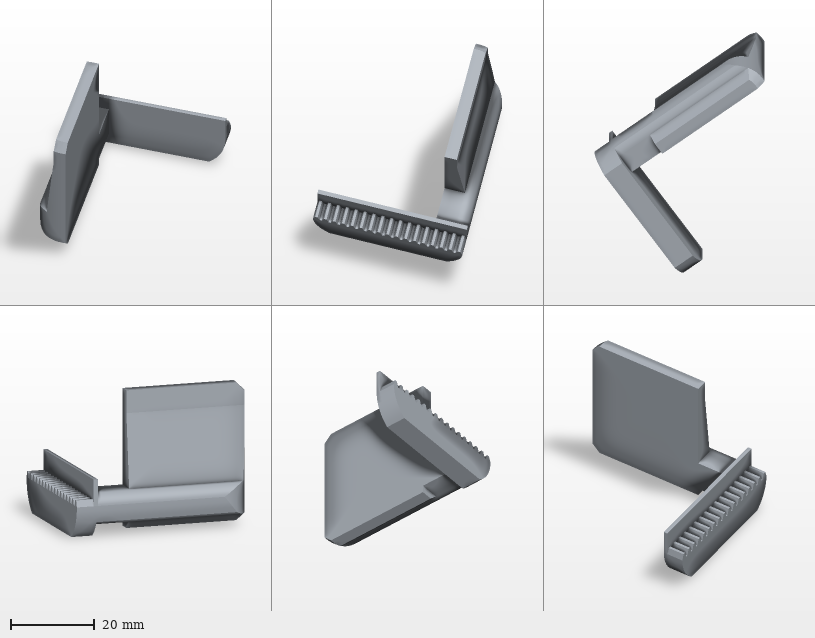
import cadquery as cq
import math

WIDTH = 36.73
LENGTH = 44.25
HEIGHT = 34.5

BAR_DEPTH = 5.25
PLATE_THICKNESS = 1.0
PLATE_HEIGHT = 14.5
ROOT_HEIGHT = 8.0
SIDE_RADIUS = 10.0

TOOTH_COUNT = 17
TOOTH_HEIGHT = 1.6
TOOTH_BASE = 1.7
TOOTH_TIP = 0.6
TOOTH_PITCH = (WIDTH - TOOTH_BASE) / (TOOTH_COUNT - 1)

ARM_WIDTH = 8.0
ARM_BOTTOM = 3.0
ARM_HEIGHT = 8.0
ARM_ROUNDING = 3.0
ARM_TOP = ARM_BOTTOM + ARM_HEIGHT
END_RADIUS = 7.0

WALL_LENGTH = 30.05
WALL_BASE_X = 3.0
EDGE_CHAMFER = 2.0
WALL_TOP_X = WALL_BASE_X + EDGE_CHAMFER
WALL_BOTTOM = ARM_BOTTOM - EDGE_CHAMFER
TAPER_TOP = 29.0

BAR_FRONT = LENGTH - BAR_DEPTH


def extrude_along_y(sketch, start, length):
    """Extrude an XZ sketch from y = start towards +Y."""
    return sketch.extrude(-length).translate((0, start, 0))


def rounded_bar(start, length):
    """Bar with vertical upper sides and arcs running in to a flat bottom."""
    angle = math.asin(ROOT_HEIGHT / SIDE_RADIUS)
    inset = SIDE_RADIUS * (1 - math.cos(angle))
    mid_inset = SIDE_RADIUS * (1 - math.cos(angle / 2))
    mid_z = ROOT_HEIGHT - SIDE_RADIUS * math.sin(angle / 2)
    sketch = (
        cq.Workplane("XZ")
        .moveTo(0, PLATE_HEIGHT)
        .lineTo(0, ROOT_HEIGHT)
        .threePointArc((mid_inset, mid_z), (inset, 0))
        .lineTo(WIDTH - inset, 0)
        .threePointArc((WIDTH - mid_inset, mid_z), (WIDTH, ROOT_HEIGHT))
        .lineTo(WIDTH, PLATE_HEIGHT)
        .close()
    )
    return extrude_along_y(sketch, start, length)


def rack_tooth(left):
    """Straight-flanked tooth whose base starts at x = left."""
    flank = (TOOTH_BASE - TOOTH_TIP) / 2
    tip_z = ROOT_HEIGHT + TOOTH_HEIGHT
    sketch = cq.Workplane("XZ").polyline([
        (left, ROOT_HEIGHT),
        (left + flank, tip_z),
        (left + flank + TOOTH_TIP, tip_z),
        (left + TOOTH_BASE, ROOT_HEIGHT),
    ]).close()
    return extrude_along_y(sketch, BAR_FRONT, BAR_DEPTH)


def arm():
    """Arm rounded on its left side and kept within the curved side of the bar."""
    block = cq.Workplane("XY").box(ARM_WIDTH, LENGTH, ARM_HEIGHT, centered=False)
    block = block.translate((0, 0, ARM_BOTTOM))
    block = block.edges("|Y and <X").fillet(ARM_ROUNDING)
    return block.intersect(rounded_bar(0, BAR_FRONT))


def wall():
    """Wall with a sloped lower edge and a tapered left face."""
    sketch = cq.Workplane("XZ").polyline([
        (ARM_WIDTH, WALL_BOTTOM),
        (WALL_TOP_X, WALL_BOTTOM),
        (WALL_BASE_X, ARM_BOTTOM),
        (WALL_BASE_X, ARM_TOP),
        (WALL_TOP_X, TAPER_TOP),
        (WALL_TOP_X, HEIGHT),
        (ARM_WIDTH, HEIGHT),
    ]).close()
    return extrude_along_y(sketch, 0, WALL_LENGTH)


def front_envelope():
    """Block with a round front corner and chamfers around its front and left edges."""
    block = cq.Workplane("XY").box(ARM_WIDTH, LENGTH, HEIGHT - WALL_BOTTOM, centered=False)
    block = block.translate((0, 0, WALL_BOTTOM))
    block = block.edges("|Z and <X and <Y").fillet(END_RADIUS)
    outer_edges = block.faces("<Z or >Z").edges("<X or <Y or %CIRCLE")
    return outer_edges.chamfer(EDGE_CHAMFER)


def rack():
    """Bar lowered to the tooth roots behind the guard plate, with its row of teeth."""
    tooth_space = cq.Workplane("XY").box(WIDTH, BAR_DEPTH, PLATE_HEIGHT, centered=False)
    tooth_space = tooth_space.translate((0, BAR_FRONT + PLATE_THICKNESS, ROOT_HEIGHT))
    bar = rounded_bar(BAR_FRONT, BAR_DEPTH).cut(tooth_space)
    for index in range(TOOTH_COUNT):
        bar = bar.union(rack_tooth(index * TOOTH_PITCH))
    return bar


result = arm().union(wall()).intersect(front_envelope()).union(rack())